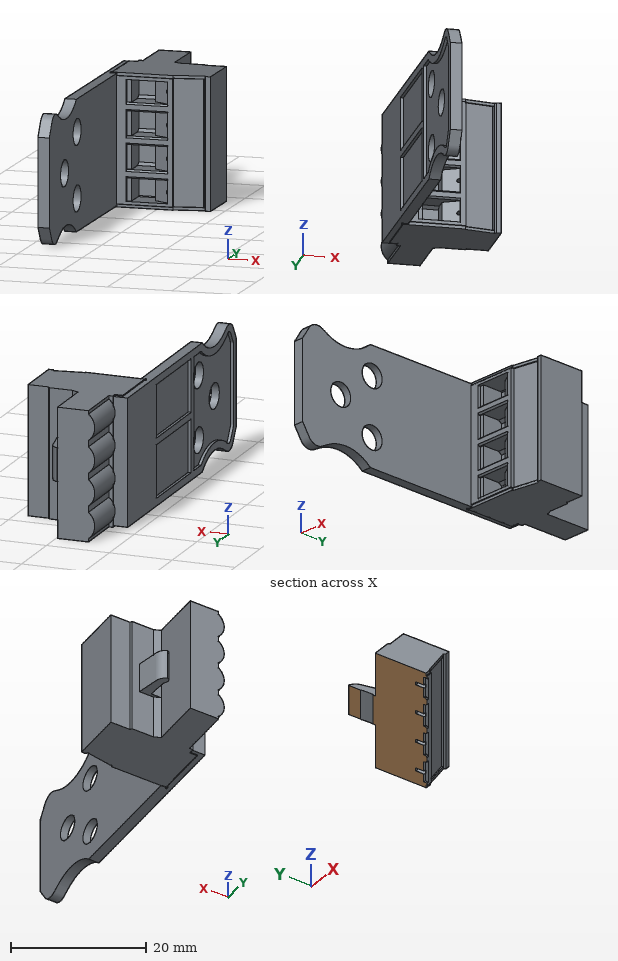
import cadquery as cq
import math

length = 52.25
depth = 16.05
body_height = 20.3
pole_count = 4
pole_pitch = 5.05
pole_heights = [(i - (pole_count - 1) / 2) * pole_pitch for i in range(pole_count)]

plate_thickness = 1.8
plate_height = 20.0
plate_top = 43.75
grip_radius = 7.5
grip_center_y = 8.65
grip_center_z = 15.55
tip_half_height = 6.8
tip_shoulder_y = 2.3
tip_shoulder_z = 10.45
tip_radius = 2.0
rim_width = 1.2
recess_depth = 0.45
grip_recess_end = 17.15
label_start = 18.25
label_end = 32.1
label_gap = 1.05
hole_diameter = 4.0
pair_hole_y = 14.1
pair_hole_z = 5.0
single_hole_y = 7.75

body_left = 1.0
body_front = 34.35
body_shoulder = 43.15
plate_lip_x = 2.25
plug_base = 44.05
plug_left = 2.85
plug_right = 7.8
rear_y = 43.25
rear_step_y = 43.6
rear_step_x = 12.75
rear_step_run = 0.2
rear_shoulder_x = 8.9
ramp_start_x = 10.45
ramp_start_y = 34.5
ramp_end_x = 15.1
ramp_end_y = 35.25
ramp_relief_shift = 0.25
lip_x = 15.3
lip_y = 34.95
front_step = 0.2
cheek_width = 0.45
nub_left = 0.8
rib_left = 1.9
rib_radius = 2.6

entry_left = 3.3
entry_right = 9.65
entry_half_height = 2.15
entry_throat_half_height = 1.9
entry_limit = 9.2
taper_depth = 0.3
ledge_depth = 0.5
pit_left = 3.95
pit_right = 7.25
pit_half_height = 1.45
pit_depth = 4.2
pit_taper_depth = 0.65
guide_depth = 1.25
pin_diameter = 0.6
pin_x = 9.55
pin_depth = 1.55

latch_left = 9.45
latch_right = 11.3
latch_bend_y = 45.45
latch_neck_x = 9.3
latch_neck_y = 47.15
latch_back_x = 10.55
latch_catch_y = 47.75
latch_tip_left = 9.0
latch_tip_x = 9.4
latch_tip_y = 48.5
latch_nose_run = 0.05
latch_nose_drop = 0.25
latch_crown_run = 0.75
latch_crown_drop = 0.5
latch_width = 5.2


def box(x0, x1, y0, y1, z0, z1):
    return cq.Workplane("XY").box(x1 - x0, y1 - y0, z1 - z0, centered=False).translate((x0, y0, z0))


def z_span(height):
    return -height / 2, height / 2


def extrude_z(outline, height):
    return outline.extrude(height / 2, both=True)


def plate_outline():
    """Symmetric outline in the YZ plane with a circular finger grip on each edge."""
    half = plate_height / 2
    grip_start_y = grip_center_y + math.sqrt(grip_radius**2 - (grip_center_z - half) ** 2)
    dy = tip_shoulder_y - grip_center_y
    dz = tip_shoulder_z - grip_center_z
    angle = math.atan2(dz, dy) + math.acos(grip_radius / math.hypot(dy, dz))
    grip_end_y = grip_center_y + grip_radius * math.cos(angle)
    grip_end_z = grip_center_z + grip_radius * math.sin(angle)
    grip_bottom_z = grip_center_z - grip_radius
    return (
        cq.Workplane("YZ")
        .moveTo(plate_top, half)
        .lineTo(grip_start_y, half)
        .threePointArc((grip_center_y, grip_bottom_z), (grip_end_y, grip_end_z))
        .lineTo(tip_shoulder_y, tip_shoulder_z)
        .lineTo(0, tip_half_height)
        .lineTo(0, -tip_half_height)
        .lineTo(tip_shoulder_y, -tip_shoulder_z)
        .lineTo(grip_end_y, -grip_end_z)
        .threePointArc((grip_center_y, -grip_bottom_z), (grip_start_y, -half))
        .lineTo(plate_top, -half)
        .close()
    )


def make_plate():
    blank = plate_outline().extrude(plate_thickness)
    shoulders = cq.selectors.BoxSelector(
        (-plate_thickness, tip_shoulder_y / 2, -plate_height),
        (2 * plate_thickness, 2 * tip_shoulder_y, plate_height),
    )
    plate = blank.edges("|X").edges(shoulders).fillet(tip_radius)

    inner = plate_outline().offset2D(-rim_width, "intersection").extrude(recess_depth)
    inner = inner.edges("|X").edges(shoulders).fillet(tip_radius - rim_width)
    half = plate_height / 2
    plate = plate.cut(inner.intersect(box(0, recess_depth, 0, grip_recess_end, -half, half)))

    label_z = half - rim_width
    for z0, z1 in ((label_gap / 2, label_z), (-label_z, -label_gap / 2)):
        plate = plate.cut(box(0, recess_depth, label_start, label_end, z0, z1))

    holes = (
        cq.Workplane("YZ")
        .pushPoints([(pair_hole_y, pair_hole_z), (pair_hole_y, -pair_hole_z), (single_hole_y, 0)])
        .circle(hole_diameter / 2)
        .extrude(plate_thickness)
    )
    lip = box(0, plate_lip_x, body_shoulder, plate_top, -half, half)
    return plate.cut(holes).union(lip)


def make_housing():
    outline = (
        cq.Workplane("XY")
        .moveTo(body_left, body_front)
        .lineTo(ramp_start_x, body_front)
        .lineTo(ramp_start_x, ramp_start_y)
        .lineTo(ramp_end_x, ramp_end_y)
        .lineTo(lip_x, lip_y)
        .lineTo(depth, lip_y)
        .lineTo(depth, rear_y)
        .lineTo(rear_step_x, rear_y)
        .lineTo(rear_step_x - rear_step_run, rear_step_y)
        .lineTo(rear_shoulder_x, rear_step_y)
        .lineTo(plug_right, plug_base)
        .lineTo(plug_right, length)
        .lineTo(plug_left, length)
        .lineTo(plug_left, plug_base)
        .lineTo(plate_lip_x, plug_base)
        .lineTo(plate_lip_x, body_shoulder)
        .lineTo(body_left, body_shoulder)
        .close()
    )
    housing = extrude_z(outline, body_height)
    front_half = body_height / 2 - cheek_width
    front = box(body_left, ramp_start_x, body_front - front_step, body_front, -front_half, front_half)
    nub = box(nub_left, body_left, body_front - front_step, body_front + front_step, *z_span(body_height))
    relief = extrude_z(
        cq.Workplane("XY")
        .polyline(
            [
                (ramp_start_x, body_front - front_step),
                (ramp_start_x, ramp_start_y + front_step),
                (ramp_end_x - ramp_relief_shift, ramp_end_y + front_step),
                (lip_x, lip_y),
                (lip_x, body_front - front_step),
            ]
        )
        .close(),
        2 * front_half,
    )
    return housing.cut(relief).union(front).union(nub)


def make_ribs():
    return (
        cq.Workplane("XZ", origin=(0, length, 0))
        .pushPoints([(rib_left + rib_radius, z) for z in pole_heights])
        .circle(rib_radius)
        .extrude(length - plug_base)
        .intersect(box(rib_left, rib_left + rib_radius, plug_base, length, *z_span(body_height)))
    )


def make_latch():
    """Upright hook with a rounded tip leaning toward the plug."""
    nose = (latch_tip_left + latch_nose_run, latch_tip_y - latch_nose_drop)
    crown = (latch_tip_x + latch_crown_run, latch_tip_y - latch_crown_drop)
    outline = (
        cq.Workplane("XY")
        .moveTo(plug_right, rear_step_y)
        .lineTo(plug_right, plug_base)
        .lineTo(latch_left, plug_base)
        .lineTo(latch_left, latch_bend_y)
        .lineTo(latch_neck_x, latch_neck_y)
        .lineTo(latch_tip_left, latch_catch_y)
        .threePointArc(nose, (latch_tip_x, latch_tip_y))
        .threePointArc(crown, (latch_back_x, latch_neck_y))
        .lineTo(latch_right, rear_step_y)
        .close()
    )
    return extrude_z(outline, latch_width)


def make_entry():
    """Cutter for one wire entry: tapered mouth, tapered pit and a sloped guide."""
    mouth_y = body_front - front_step
    taper_y = mouth_y + taper_depth
    ledge_y = mouth_y + ledge_depth
    pit_y = mouth_y + pit_depth
    guide_y = ledge_y + guide_depth

    def tapered_section(x0, x1, points):
        lower = [(y, -z) for y, z in reversed(points)]
        return cq.Workplane("YZ", origin=(x0, 0, 0)).polyline(points + lower).close().extrude(x1 - x0)

    mouth = tapered_section(
        entry_left,
        entry_right,
        [
            (mouth_y, entry_half_height),
            (taper_y, entry_throat_half_height),
            (ledge_y, entry_throat_half_height),
        ],
    )
    pit = tapered_section(
        pit_left,
        pit_right,
        [
            (ledge_y, entry_throat_half_height),
            (pit_y - pit_taper_depth, entry_throat_half_height),
            (pit_y, pit_half_height),
        ],
    )
    guide = extrude_z(
        cq.Workplane("XY")
        .polyline([(pit_right, ledge_y), (entry_right, ledge_y), (pit_right, guide_y)])
        .close(),
        2 * entry_throat_half_height,
    )
    pin_hole = (
        cq.Workplane("XZ", origin=(pin_x, ledge_y, 0)).circle(pin_diameter / 2).extrude(-pin_depth)
    )
    return mouth.union(pit).union(guide).union(pin_hole)


result = make_plate().union(make_housing()).union(make_ribs()).union(make_latch())
entry = make_entry()
entry_bounds = box(0, depth, 0, length, -entry_limit, entry_limit)
for z in pole_heights:
    result = result.cut(entry.translate((0, 0, z)).intersect(entry_bounds))